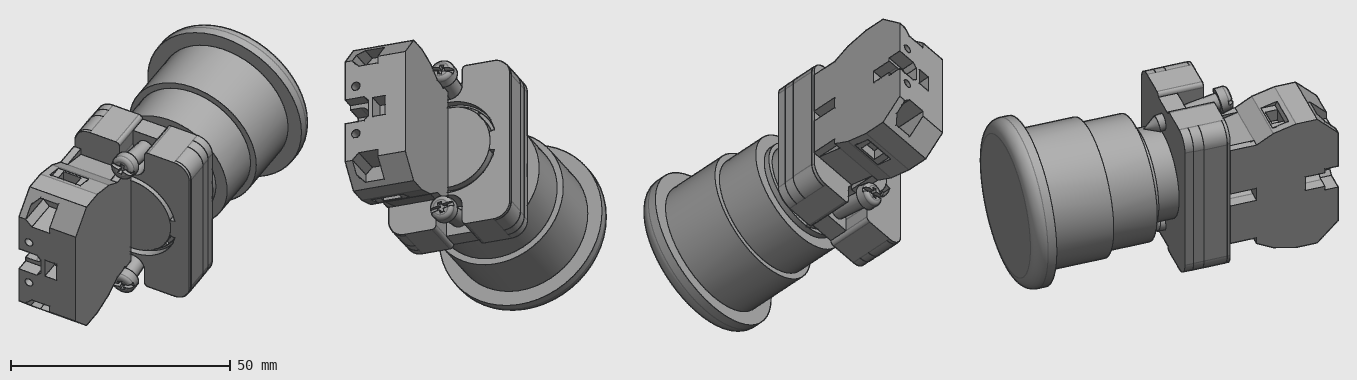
import cadquery as cq
import math


OVERALL_LENGTH = 75.05

CAP_END = 38.05
CAP_RADIUS = 20.0
CAP_EDGE_FILLET = 3.15
CAP_FLANGE_FRONT = 32.8
CAP_SKIRT_RADIUS = 16.5
CAP_SKIRT_FRONT = 17.8
HOUSING_RADIUS = 15.0
HOUSING_FRONT = 6.75
GASKET_RADIUS = 12.1
GASKET_FRONT = 5.3
SHAFT_RADIUS = 10.95
NOSE_RADIUS = 10.05
NOSE_LENGTH = 1.95

COLLAR_DEPTH = 10.95
COLLAR_HALF_HEIGHT = 20.0
COLLAR_CORNER_START = 10.95
REAR_LAYER_END = -2.1
MIDDLE_LAYER_END = -4.6
FRONT_LAYER_START = -10.2
COLLAR_FRONT = -COLLAR_DEPTH
COLLAR_LAYERS = [
    (0, REAR_LAYER_END, 14.85),
    (REAR_LAYER_END, MIDDLE_LAYER_END, 14.9),
    (MIDDLE_LAYER_END, FRONT_LAYER_START, 15.0),
    (FRONT_LAYER_START, COLLAR_FRONT, 14.85),
]
SLOT_HALF_WIDTH = 3.2
SLOT_CENTRE_Z = 15.3
SLOT_EDGE_ROUND = 1.0
BRIDGE_TOP = COLLAR_HALF_HEIGHT - SLOT_EDGE_ROUND
COUNTERBORE_RADIUS = 11.4
SHOULDER_Y = COLLAR_FRONT + NOSE_LENGTH
TAB_HALF_ANGLE = 12.8

STEP_DEPTH = 0.75
STEP_START_ANGLE = -42
STEP_END_ANGLE = 53

SCREW_RADIUS = 1.95
SCREW_TIP_Y = 4.7
SCREW_TIP_Z = 13.5
SCREW_TILT = 10.7
SCREW_POINT_LENGTH = 3.4
SCREW_SHANK_END = 18.3
SCREW_HEAD_RADIUS = 3.0
SCREW_HEAD_RIM_RADIUS = 2.8
SCREW_HEAD_HEIGHT = 2.9
SCREW_HEAD_FILLET = 1.05
SCREW_HEAD_CLEARANCE = 0.15
DRIVE_ANGLE = 12
DRIVE_WIDTH = 1.0
DRIVE_SLOT_DEPTH = 1.1
DRIVE_CROSS_LENGTH = 2.5
DRIVE_CROSS_DEPTH = 1.5

BLOCK_LEFT = -15.1
BLOCK_RIGHT = -0.3
BLOCK_FRONT = CAP_END - OVERALL_LENGTH
NECK_HALF_HEIGHT = 14.2
NECK_END = -17.25
SHOULDER_BEND = (-21.3, 16.4)
CREST_START = -26.8
CREST_END = -31.9
CREST_HEIGHT = 17.8
FRONT_HALF_HEIGHT = 12.6
RAIL_WIDTH = 1.8
RAMP_LOW = 12.5

WINDOW_LEFT = -13.2
WINDOW_RIGHT = -5.3
WINDOW_FLOOR = 16.5
WINDOW_START = -21.75
WINDOW_BEND = -25.15
WINDOW_END = -25.8
WELL_LEFT = -11.55
WELL_RIGHT = -7.05
WELL_START = -22.2
WELL_DEPTH = 3.0

POCKET_LEFT = -13.3
POCKET_RIGHT = WELL_RIGHT
POCKET_TOP = 16.65
POCKET_BOTTOM = 10.95
POCKET_CORNER = 1.6
POCKET_DEPTH = 8.25

PIN_HOLE_X = -12.45
PIN_HOLE_Z = 6.0
PIN_HOLE_RADIUS = 1.01
PIN_HOLE_DEPTH = 3.0
LATCH_LEFT = -8.3
LATCH_RIGHT = -5.25
LATCH_HALF_HEIGHT = 2.4
LATCH_DEPTH = 4.5
RECESS_RIGHT = -9.4
RECESS_HALF_HEIGHT = 3.0
RECESS_CORNER = 1.05
RECESS_DEPTH = 3.2
FRONT_GROOVE_RADIUS = 1.95
FRONT_GROOVE_DEPTH = 7.95
NECK_GROOVE_RADIUS = 1.7


def box(x_range, y_range, z_range):
    """Box between pairs of X, Y and Z limits."""
    lows, highs = zip(*(sorted(limits) for limits in (x_range, y_range, z_range)))
    sizes = [high - low for low, high in zip(lows, highs)]
    return cq.Workplane("XY").box(*sizes, centered=False).translate(lows)


def plate(y):
    """Workplane at height y whose positive extrusions run towards -Y; local axes are X and Z."""
    return cq.Workplane("XZ", origin=(0, y, 0))


def both_ends(feature):
    """The feature together with its mirror image below the button axis."""
    return feature.union(feature.mirror("XY"))


def cylinder(radius, y_start, y_end):
    return plate(y_start).circle(radius).extrude(y_start - y_end)


def sector(y_start, y_end, first_angle, last_angle, inner_radius, outer_radius):
    """Ring segment about the button axis."""
    def point(radius, angle):
        return (radius * math.cos(math.radians(angle)), radius * math.sin(math.radians(angle)))

    middle_angle = (first_angle + last_angle) / 2
    return (
        plate(y_start)
        .moveTo(*point(inner_radius, first_angle))
        .lineTo(*point(outer_radius, first_angle))
        .threePointArc(point(outer_radius, middle_angle), point(outer_radius, last_angle))
        .lineTo(*point(inner_radius, last_angle))
        .threePointArc(point(inner_radius, middle_angle), point(inner_radius, first_angle))
        .close()
        .extrude(y_start - y_end)
    )


def make_cap():
    flange = cylinder(CAP_RADIUS, CAP_END, CAP_FLANGE_FRONT).faces(">Y").edges().fillet(CAP_EDGE_FILLET)
    return flange.union(cylinder(CAP_SKIRT_RADIUS, CAP_FLANGE_FRONT, CAP_SKIRT_FRONT))


def make_housing():
    body = cylinder(HOUSING_RADIUS, CAP_SKIRT_FRONT, HOUSING_FRONT)
    body = body.union(cylinder(GASKET_RADIUS, HOUSING_FRONT, GASKET_FRONT))
    body = body.union(cylinder(SHAFT_RADIUS, GASKET_FRONT, SHOULDER_Y))
    body = body.union(cylinder(NOSE_RADIUS, SHOULDER_Y, COLLAR_FRONT))
    step = sector(
        SHOULDER_Y + STEP_DEPTH, SHOULDER_Y, STEP_START_ANGLE, STEP_END_ANGLE, NOSE_RADIUS, COUNTERBORE_RADIUS
    )
    return body.cut(step)


def collar_layer(y_start, y_end, half_width):
    layer = plate(y_start).rect(2 * half_width, 2 * COLLAR_HALF_HEIGHT).extrude(y_start - y_end)
    return layer.edges("|Y").fillet(half_width - COLLAR_CORNER_START)


def screw_slot():
    """U-shaped slot in the top of the collar, with its two mouth edges rounded outwards."""
    mouth = SLOT_HALF_WIDTH + SLOT_EDGE_ROUND
    bend = SLOT_EDGE_ROUND * math.sqrt(0.5)
    bend_x = mouth - bend
    bend_z = BRIDGE_TOP + bend
    return (
        plate(0)
        .moveTo(-mouth, COLLAR_HALF_HEIGHT)
        .threePointArc((-bend_x, bend_z), (-SLOT_HALF_WIDTH, BRIDGE_TOP))
        .lineTo(-SLOT_HALF_WIDTH, SLOT_CENTRE_Z)
        .threePointArc((0, SLOT_CENTRE_Z - SLOT_HALF_WIDTH), (SLOT_HALF_WIDTH, SLOT_CENTRE_Z))
        .lineTo(SLOT_HALF_WIDTH, BRIDGE_TOP)
        .threePointArc((bend_x, bend_z), (mouth, COLLAR_HALF_HEIGHT))
        .close()
        .extrude(COLLAR_DEPTH)
    )


def make_collar():
    collar = collar_layer(*COLLAR_LAYERS[0])
    for layer in COLLAR_LAYERS[1:]:
        collar = collar.union(collar_layer(*layer))

    bridge = box((-SLOT_HALF_WIDTH, SLOT_HALF_WIDTH), (0, MIDDLE_LAYER_END), (0, BRIDGE_TOP))
    collar = collar.cut(both_ends(screw_slot().cut(bridge)))

    collar = collar.cut(cylinder(SHAFT_RADIUS, 0, SHOULDER_Y))
    counterbore = cylinder(COUNTERBORE_RADIUS, SHOULDER_Y, COLLAR_FRONT)
    for side in (0, 180):
        tab = sector(
            SHOULDER_Y, COLLAR_FRONT, side - TAB_HALF_ANGLE, side + TAB_HALF_ANGLE,
            NOSE_RADIUS, COUNTERBORE_RADIUS,
        )
        counterbore = counterbore.cut(tab)
    collar = collar.cut(counterbore)

    screw_hole = place_screw(cylinder(SCREW_RADIUS, 0, -SCREW_SHANK_END))
    return collar.cut(both_ends(screw_hole))


def place_screw(shape):
    """Move a shape from the screw's own axis (tip at the origin, head towards -Y) to the upper screw."""
    tilted = shape.rotate((0, 0, 0), (1, 0, 0), -SCREW_TILT)
    return tilted.translate((0, SCREW_TIP_Y, SCREW_TIP_Z))


def make_screw():
    head_end = SCREW_SHANK_END + SCREW_HEAD_HEIGHT
    screw = (
        cq.Workplane("XY")
        .polyline([
            (0, 0),
            (SCREW_RADIUS, -SCREW_POINT_LENGTH),
            (SCREW_RADIUS, -SCREW_SHANK_END),
            (SCREW_HEAD_RADIUS, -SCREW_SHANK_END),
            (SCREW_HEAD_RIM_RADIUS, -head_end),
            (0, -head_end),
        ])
        .close()
        .revolve(360, (0, 0, 0), (0, 1, 0))
    )
    screw = screw.faces("<Y").edges().fillet(SCREW_HEAD_FILLET)

    half_width = DRIVE_WIDTH / 2
    half_cross = DRIVE_CROSS_LENGTH / 2
    slot_range = (-head_end, DRIVE_SLOT_DEPTH - head_end)
    cross_range = (-head_end, DRIVE_CROSS_DEPTH - head_end)
    drive = box((-SCREW_HEAD_RADIUS, SCREW_HEAD_RADIUS), slot_range, (-half_width, half_width))
    drive = drive.union(box((-half_cross, half_cross), cross_range, (-half_width, half_width)))
    drive = drive.union(box((-half_width, half_width), cross_range, (-half_cross, half_cross)))
    screw = screw.cut(drive.rotate((0, 0, 0), (0, 1, 0), DRIVE_ANGLE))
    return place_screw(screw)


def head_relief():
    """Round clearance that lets the upper screw head dip into the right-hand rail of the block."""
    relief_start = SCREW_SHANK_END - SCREW_HEAD_CLEARANCE
    relief_end = SCREW_SHANK_END + SCREW_HEAD_HEIGHT + SCREW_HEAD_CLEARANCE
    return place_screw(cylinder(SCREW_HEAD_RADIUS + SCREW_HEAD_CLEARANCE, -relief_start, -relief_end))


def side_prism(points, left, right):
    """Prism along X between left and right, from (Y, Z) points."""
    return cq.Workplane("YZ", origin=(left, 0, 0)).polyline(points).close().extrude(right - left)


def block_blank():
    upper = [
        (COLLAR_FRONT, NECK_HALF_HEIGHT),
        (NECK_END, NECK_HALF_HEIGHT),
        SHOULDER_BEND,
        (CREST_START, CREST_HEIGHT),
        (CREST_END, CREST_HEIGHT),
        (BLOCK_FRONT, FRONT_HALF_HEIGHT),
    ]
    lower = [(y, -z) for y, z in reversed(upper)]
    return side_prism(upper + lower, BLOCK_LEFT, BLOCK_RIGHT)


def neck_ramp():
    """Wedge removed between the side rails, so that the neck slopes down to the collar."""
    wedge = [(COLLAR_FRONT, NECK_HALF_HEIGHT), (NECK_END, NECK_HALF_HEIGHT), (COLLAR_FRONT, RAMP_LOW)]
    return side_prism(wedge, BLOCK_LEFT + RAIL_WIDTH, BLOCK_RIGHT - RAIL_WIDTH)


def terminal_window():
    """Level-floored recess in the upper shoulder with a deeper well in it."""
    recess = [
        (WINDOW_START, WINDOW_FLOOR),
        (WINDOW_BEND, WINDOW_FLOOR),
        (WINDOW_END, CREST_HEIGHT),
        (WINDOW_START, CREST_HEIGHT),
    ]
    well = box((WELL_LEFT, WELL_RIGHT), (WELL_START, WINDOW_BEND), (WINDOW_FLOOR - WELL_DEPTH, WINDOW_FLOOR))
    return side_prism(recess, WINDOW_LEFT, WINDOW_RIGHT).union(well)


def terminal_pocket():
    """Pocket in the upper front corner, with its two left corners cut off."""
    return (
        plate(BLOCK_FRONT + POCKET_DEPTH)
        .polyline([
            (POCKET_RIGHT, POCKET_TOP),
            (POCKET_LEFT + POCKET_CORNER, POCKET_TOP),
            (POCKET_LEFT, POCKET_TOP - POCKET_CORNER),
            (POCKET_LEFT, POCKET_BOTTOM + POCKET_CORNER),
            (POCKET_LEFT + POCKET_CORNER, POCKET_BOTTOM),
            (POCKET_RIGHT, POCKET_BOTTOM),
        ])
        .close()
        .extrude(POCKET_DEPTH)
    )


def side_groove(y_start, y_end, radius):
    """Groove along Y, open at the left side and round at its inner end."""
    round_end = cylinder(radius, y_start, y_end).translate((PIN_HOLE_X, 0, 0))
    return round_end.union(box((BLOCK_LEFT, PIN_HOLE_X), (y_start, y_end), (-radius, radius)))


def front_recess():
    """Shallow recess in the front face, open at the left side."""
    recess = box(
        (BLOCK_LEFT, RECESS_RIGHT),
        (BLOCK_FRONT + RECESS_DEPTH, BLOCK_FRONT),
        (-RECESS_HALF_HEIGHT, RECESS_HALF_HEIGHT),
    )
    return recess.faces(">X").edges("|Y").chamfer(RECESS_CORNER)


def pin_hole(z, mouth_y):
    return cylinder(PIN_HOLE_RADIUS, mouth_y + PIN_HOLE_DEPTH, mouth_y).translate((PIN_HOLE_X, 0, z))


def make_block():
    block = block_blank()
    for feature in (neck_ramp(), terminal_window(), terminal_pocket()):
        block = block.cut(both_ends(feature))

    rail = box(
        (BLOCK_LEFT, BLOCK_LEFT + RAIL_WIDTH), (COLLAR_FRONT, NECK_END), (-NECK_HALF_HEIGHT, -RAMP_LOW)
    )
    block = block.cut(rail)

    block = block.cut(both_ends(head_relief()))

    groove_bottom = BLOCK_FRONT + FRONT_GROOVE_DEPTH
    block = block.cut(front_recess())
    block = block.cut(side_groove(groove_bottom, BLOCK_FRONT, FRONT_GROOVE_RADIUS))
    block = block.cut(side_groove(COLLAR_FRONT, NECK_END, NECK_GROOVE_RADIUS))

    block = block.cut(pin_hole(0, groove_bottom))
    block = block.cut(both_ends(pin_hole(PIN_HOLE_Z, BLOCK_FRONT)))
    latch = box(
        (LATCH_LEFT, LATCH_RIGHT),
        (BLOCK_FRONT + LATCH_DEPTH, BLOCK_FRONT),
        (-LATCH_HALF_HEIGHT, LATCH_HALF_HEIGHT),
    )
    return block.cut(latch)


cap = make_cap()
housing = make_housing()
collar = make_collar()
block = make_block()

upper_screw = make_screw()
screws = [screw.val() for screw in (upper_screw, upper_screw.mirror("XY"))]

result = cq.Compound.makeCompound([cap.val(), housing.val(), collar.val(), block.val(), *screws])